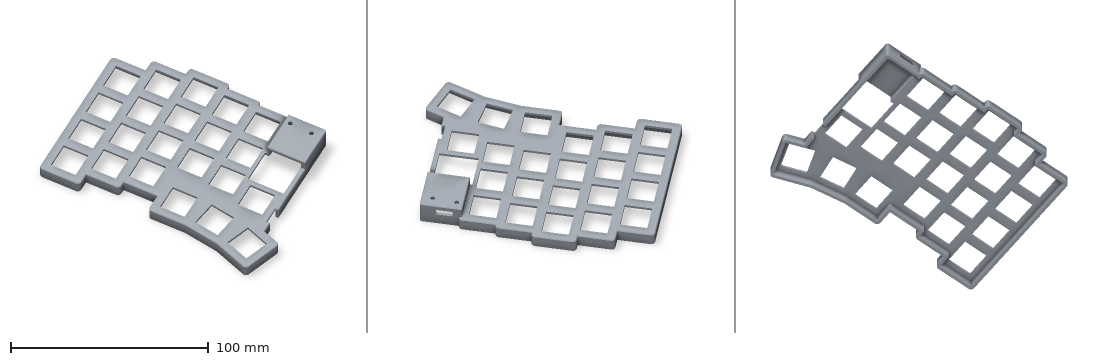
import cadquery as cq
import math


body_height = 6.6
plate_thickness = 1.4
cover_height = 12.0
roof_thickness = 2.1
plate_bottom = body_height - plate_thickness
roof_bottom = cover_height - roof_thickness

wall = 1.5
corner_radius = 2.0
edge_chamfer = 0.4

key_pitch = 19.1
key_hole = 14.0
edge_margin = 11.5

column_x = [edge_margin + i * key_pitch for i in range(6)]
column_rows = [4, 4, 4, 3, 3, 1]
column_back_key_y = [69.0, 76.2, 80.6, 77.8, 75.6, 32.7]

thumb_keys = [(72.9, 13.4, 0), (94.2, 11.7, 9), (115.6, 6.1, 20)]

right_edge = 119.9
cover_left = 98.2
cover_front = 61.4
cover_back = 85.0
cover_wall = 1.3
rail_width = 2.5
cover_corner_radius = 1.3
window_left = 97.0
window_front = 42.6
button_hole_diameter = 2.5
button_holes = [(101.5, 80.4), (114.0, 79.6)]

usb_x = 107.3
usb_width = 9.1
usb_height = 3.2
usb_top = 9.5
usb_radius = 1.0

notch_depth = 1.8
notch_front = 22.9
notch_back = 32.1


def box(x0, x1, y0, y1, z0, z1):
    """Axis-aligned block between two opposite corners."""
    return cq.Workplane("XY").box(x1 - x0, y1 - y0, z1 - z0, centered=False).translate((x0, y0, z0))


def thumb_point(key, along, up):
    """Point at a local offset from a thumb key's centre."""
    x, y, turn = key
    angle = math.radians(-turn)
    return (
        x + along * math.cos(angle) - up * math.sin(angle),
        y + along * math.sin(angle) + up * math.cos(angle),
    )


def front_edge_y(key, x):
    """Y at x of the front rim line that belongs to a thumb key."""
    px, py = thumb_point(key, 0, -edge_margin)
    return py - (x - px) * math.tan(math.radians(key[2]))


def front_kink(key_a, key_b):
    """Point where the front rim lines of two neighbouring thumb keys cross."""
    slope_change = math.tan(math.radians(key_b[2])) - math.tan(math.radians(key_a[2]))
    x = (front_edge_y(key_b, 0) - front_edge_y(key_a, 0)) / slope_change
    return (x, front_edge_y(key_a, x))


def outline_points():
    """Corners of the case outline, anticlockwise from the front left."""
    left = [x - edge_margin for x in column_x]
    right = [x + edge_margin for x in column_x]
    back = [y + edge_margin for y in column_back_key_y]
    front = [
        y - (rows - 1) * key_pitch - edge_margin
        for y, rows in zip(column_back_key_y, column_rows)
    ]
    inner, middle, outer = thumb_keys
    thumb_left = inner[0] - edge_margin
    outer_back = thumb_point(outer, edge_margin, edge_margin)
    shoulder_y = outer_back[1] + (outer_back[0] - right_edge) * math.tan(math.radians(outer[2]))
    return [
        (left[0], front[0]),
        (right[0], front[0]),
        (right[0], front[1]),
        (right[1], front[1]),
        (right[1], front[2]),
        (thumb_left, front[2]),
        (thumb_left, inner[1] - edge_margin),
        front_kink(inner, middle),
        front_kink(middle, outer),
        thumb_point(outer, edge_margin, -edge_margin),
        outer_back,
        (right_edge, shoulder_y),
        (right_edge, cover_back),
        (right[4], cover_back),
        (right[4], back[4]),
        (right[3], back[4]),
        (right[3], back[3]),
        (right[2], back[3]),
        (right[2], back[2]),
        (left[2], back[2]),
        (left[2], back[1]),
        (left[1], back[1]),
        (left[1], back[0]),
        (left[0], back[0]),
    ]


def case_outline():
    """Closed case outline with sharp corners, on the underside."""
    return cq.Workplane("XY").polyline(outline_points()).close()


def make_body():
    """Solid case body with rounded outer corners, jack notch and top chamfer."""
    body = case_outline().offset2D(-corner_radius).offset2D(corner_radius).extrude(body_height)
    notch = box(right_edge - notch_depth, right_edge, notch_front, notch_back, 0, body_height)
    return body.cut(notch).faces(">Z").edges().chamfer(edge_chamfer)


def make_cover():
    """Solid block of the controller cover."""
    cover = box(cover_left, right_edge, cover_front, cover_back, 0, cover_height)
    cover = cover.edges("|Z and >X and >Y").fillet(cover_corner_radius)
    return cover.faces(">Z").edges().chamfer(edge_chamfer)


def make_cavity():
    """Hollow under the switch plate, and the taller one under the cover with its window."""
    under_plate = case_outline().offset2D(-wall, "intersection").extrude(plate_bottom)
    rail_left = right_edge - rail_width
    under_cover = box(
        cover_left + cover_wall, rail_left,
        cover_front, cover_back - cover_wall,
        0, roof_bottom,
    )
    window = box(window_left, rail_left, window_front, cover_front, 0, cover_height)
    return under_plate.union(under_cover).union(window)


def make_key_holes():
    """Square switch holes for the columns and the thumb fan."""
    keys = list(thumb_keys)
    for x, back_y, rows in zip(column_x, column_back_key_y, column_rows):
        keys += [(x, back_y - row * key_pitch, 0) for row in range(rows)]
    cutter = cq.Workplane("XY").box(key_hole, key_hole, body_height, centered=(True, True, False))
    holes = cq.Workplane("XY")
    for x, y, turn in keys:
        holes.add(cutter.rotate((0, 0, 0), (0, 0, 1), -turn).translate((x, y, 0)))
    return holes.combine()


def make_cover_openings():
    """Button holes in the roof and the USB opening in the back wall."""
    buttons = (
        cq.Workplane("XY", origin=(0, 0, plate_bottom))
        .pushPoints(button_holes)
        .circle(button_hole_diameter / 2)
        .extrude(cover_height)
    )
    usb = box(
        usb_x - usb_width / 2, usb_x + usb_width / 2,
        cover_back - cover_wall, cover_back,
        usb_top - usb_height, usb_top,
    ).edges("|Y").fillet(usb_radius)
    return buttons.union(usb)


result = (
    make_body()
    .union(make_cover())
    .cut(make_cavity())
    .cut(make_key_holes())
    .cut(make_cover_openings())
)